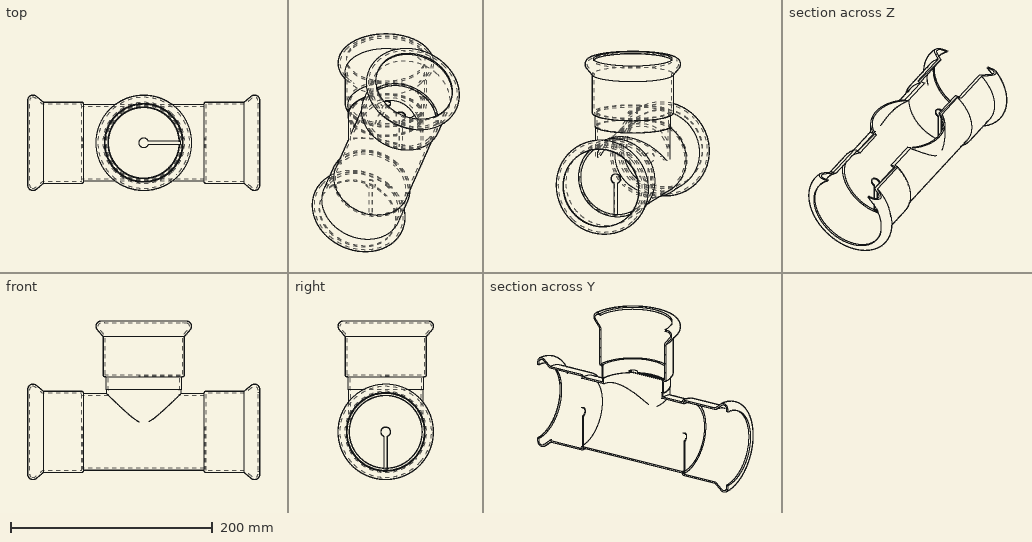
import cadquery as cq
import math

run_length = 230.0
branch_height = 110.0
wall = 2.0

socket_radius = 80.7 / 2
socket_bore_radius = socket_radius - wall
shoulder_depth = 55.5
shoulder_round = 2.0
stop_depth = shoulder_depth - wall

bead_round = 5.3
bead_radius = 94.8 / 2
bead_centre_radius = bead_radius - bead_round
lip_radius = 78.2 / 2
cone_angle = math.radians(40)
throat_round = 2.0
bead_inner_round = bead_round - wall

run_radius = 76.1 / 2
neck_radius = 75.2 / 2
stub_radius = 74.0 / 2
neck_end_depth = 67.8

disc_radius = 4.8
arm_width = 3.5
arm_length = 36.5
marker_thickness = 1.2


def flank_point(arc_radius):
    """Point (radius, depth) where an arc about the bead centre meets the conical flank."""
    return (
        bead_centre_radius + arc_radius * math.cos(cone_angle),
        bead_round + arc_radius * math.sin(cone_angle),
    )


def arc_middle(arc_radius):
    """Midpoint (radius, depth) of the bead arc between the mouth face and the flank."""
    middle_angle = (cone_angle - math.pi / 2) / 2
    return (
        bead_centre_radius + arc_radius * math.cos(middle_angle),
        bead_round + arc_radius * math.sin(middle_angle),
    )


def flank_end_depth(arc_radius, end_radius):
    """Depth at which the flank leaving a bead arc reaches a given radius."""
    start_radius, start_depth = flank_point(arc_radius)
    return start_depth + (start_radius - end_radius) / math.tan(cone_angle)


def make_socket(tube_radius):
    """Hollow socket with its mouth at Z = 0, running along +Z to a tube of the given radius."""
    corner_shift = shoulder_round * (1 - math.sqrt(0.5))
    throat_depth = flank_end_depth(bead_inner_round, socket_bore_radius)
    throat_tangent = throat_round * math.tan(cone_angle / 2)
    throat_end = throat_depth + throat_tangent
    throat_middle = (
        socket_bore_radius + throat_round * (1 - math.cos(cone_angle / 2)),
        throat_end - throat_round * math.sin(cone_angle / 2),
    )
    throat_start = (
        socket_bore_radius + throat_tangent * math.sin(cone_angle),
        throat_depth - throat_tangent * math.cos(cone_angle),
    )
    profile = (
        cq.Workplane("YZ")
        .moveTo(lip_radius, 0)
        .lineTo(bead_centre_radius, 0)
        .threePointArc(arc_middle(bead_round), flank_point(bead_round))
        .lineTo(socket_radius, flank_end_depth(bead_round, socket_radius))
        .lineTo(socket_radius, shoulder_depth - shoulder_round)
        .threePointArc(
            (socket_radius - corner_shift, shoulder_depth - corner_shift),
            (socket_radius - shoulder_round, shoulder_depth),
        )
        .lineTo(tube_radius - wall, shoulder_depth)
        .lineTo(tube_radius - wall, stop_depth)
        .lineTo(socket_bore_radius, stop_depth)
        .lineTo(socket_bore_radius, throat_end)
        .threePointArc(throat_middle, throat_start)
        .lineTo(*flank_point(bead_inner_round))
        .threePointArc(arc_middle(bead_inner_round), (bead_centre_radius, wall))
        .lineTo(lip_radius, wall)
        .close()
    )
    return profile.revolve(360, (0, 0, 0), (0, 1, 0))


def make_marker():
    """Centre disc and its arm along +X, starting at the stop ledge of a socket."""
    plane = cq.Workplane("XY").workplane(offset=stop_depth)
    disc = plane.circle(disc_radius).extrude(marker_thickness)
    arm = plane.center(arm_length / 2, 0).rect(arm_length, arm_width).extrude(marker_thickness)
    return disc.union(arm)


def place_left(shape):
    """Put the mouth on the -X end, with local +X turned to -Z."""
    return shape.rotate((0, 0, 0), (0, 1, 0), 90).translate((-run_length / 2, 0, 0))


def place_right(shape):
    """Mirror image of the left end."""
    return place_left(shape).mirror("YZ")


def place_top(shape):
    """Put the mouth at the top of the branch, keeping local +X."""
    return shape.mirror("XY").translate((0, 0, branch_height))


def make_tubes(inset):
    """Solid run and branch rods, thinned by the given radial inset."""
    half_run = run_length / 2 - shoulder_depth
    neck_bottom = branch_height - neck_end_depth
    neck_length = neck_end_depth - shoulder_depth
    run = cq.Workplane("YZ").circle(run_radius - inset).extrude(half_run, both=True)
    stub = cq.Workplane("XY").circle(stub_radius - inset).extrude(neck_bottom)
    neck = cq.Workplane("XY").workplane(offset=neck_bottom).circle(neck_radius - inset).extrude(neck_length)
    return run.union(stub).union(neck)


ends = [(place_left, run_radius), (place_right, run_radius), (place_top, neck_radius)]

markers = [place(make_marker()) for place, _ in ends]

fitting = make_tubes(0).cut(make_tubes(wall))
for place, tube_radius in ends:
    fitting = fitting.union(place(make_socket(tube_radius)))
for marker in markers:
    fitting = fitting.cut(marker)

result = cq.Compound.makeCompound([fitting.solids().val(), *[marker.val() for marker in markers]])